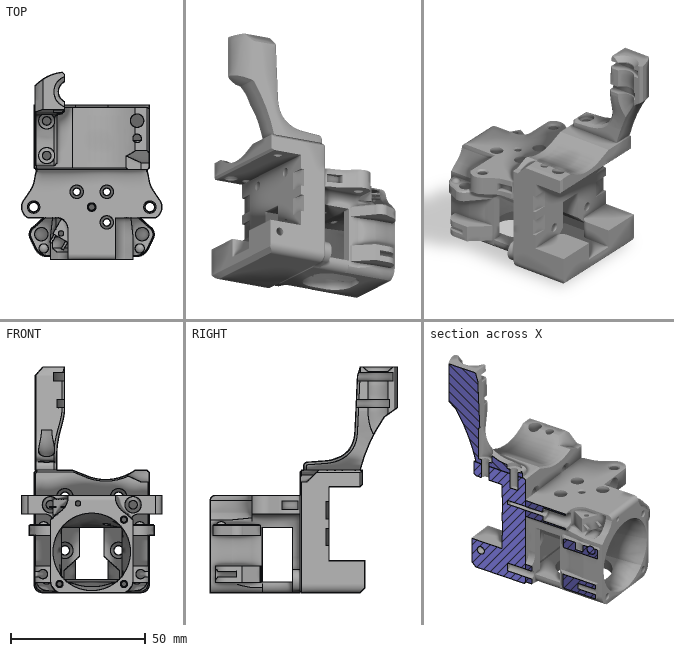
import cadquery as cq
import math

SIDES = (-1, 1)
OVERCUT = 1.0

carriage_half_width = 21.5
carriage_height = 45.7
block_depth = 10.8
top_flange_back = 23.2
top_flange_underside = 39.5
bottom_flange_back = 24.1
bottom_flange_top = 12.0
bottom_corner_radius = 3.2
front_edge_chamfer = 0.6
top_edge_chamfer = 0.9
top_flange_chamfer = 0.8
bottom_flange_chamfer = 1.7
rail_screw_half_pitch = 10.0
rail_screw_levels = (15.8, 35.8)
rail_screw_diameter = 3.4
rail_screw_head_diameter = 6.1
rail_screw_head_depth = 0.8
saddle_slope_start = (-7.1, carriage_height)
saddle_arc_start = (-3.0, 44.05)
saddle_low_point = (5.2, 42.2)
saddle_end = (16.2, carriage_height)
window_half_width = 4.5
window_wide_half_width = 10.4
window_floor = 5.0
window_wide_level = 8.2
window_narrow_level = 13.6
window_top = 24.3
flange_slot_half_width = 6.0
flange_slot_mouth_half_width = 9.1
belt_notch_levels = ((17.6, 24.0), (27.5, 34.1))
belt_notch_depth = 1.2
belt_notch_length = 6.0
cross_hole_diameter = 3.0
cross_hole_y = 20.1
cross_hole_z = 8.0
cross_hole_depth = 10.0
scoop_floor = 41.3
scoop_start_x = 12.2
scoop_start_z = 44.1
scoop_floor_start_x = 18.4
scoop_ledge_depth = 2.5
scoop_back = 7.0
top_hole_x = 16.9
top_holes = ((18.2, 5.0), (11.6, 3.2))
top_hole_depth = carriage_height - top_flange_underside

arm_left = -21.2
arm_right = -10.1
arm_foot_right = -13.0
arm_foot_rise = 52.0
arm_front = 1.3
arm_back = 36.28
arm_top = 84.15
arm_post_front = 22.4
arm_screw_x = -16.8
arm_screw_positions = (5.2, 18.1)
arm_screw_diameter = 3.2
arm_screw_head_diameter = 6.0
arm_screw_seat = 47.5
arm_screw_relief_top = 60.6
arm_screw_depth = 6.2
cable_center = (-8.2, 29.0)
cable_radius = 4.2
cable_mouth_radius = 5.9
tie_groove_height = 3.0
tie_grooves = ((79.0, 6.0), (69.0, 4.8))
arm_edge_chamfer = 0.5
arm_foot_chamfer = 1.0

plate_top = 36.3
plate_bottom = 29.3
plate_front = -18.0
plate_half_width = 26.185
duct_front = -33.55
duct_narrow_half_width = 14.6
duct_half_width = 15.4
duct_taper_end = -25.2
duct_corner_radius = 3.2
duct_corner_height = 4.5
gusset_radius = 2.6
tongue_half_width = 8.9
tongue_edge_radius = 2.0
ear_hole_x = 21.65
ear_hole_y = -14.0
ear_radius = plate_half_width - ear_hole_x
ear_flank_angle = 40.0
ear_hole_diameter = 3.5
ear_hole_mouth_diameter = 4.6
plate_screws = ((-5.6, -8.3), (5.6, -8.3), (5.6, -19.7))
plate_screw_diameter = 2.7
plate_screw_head_diameter = 5.0
plate_screw_head_depth = 3.0
probe_hole_diameter = 2.4
probe_hole_mouth_diameter = 3.2
probe_hole_depth = 8.0
mount_screw_x = 15.4
mount_screw_z = 32.8
mount_screw_diameter = 3.2
mount_screw_head_diameter = 6.1
mount_screw_seat_y = -8.0
mount_screw_depth = 8.0
cavity_half_width = 11.2
cavity_floor = 4.1
cavity_top = 24.3
side_window_back = -2.9
side_window_front = -14.05
floor_opening_half_width = 9.0
floor_opening_front = -25.0
floor_opening_back = -5.0
floor_opening_corner_radius = 7.0
fan_center_z = 15.25
fan_opening_diameter = 28.9
fan_screw_half_pitch = 12.0
fan_screw_diameter = 2.0
fan_screw_mouth_diameter = 2.7
fan_screw_depth = 8.0
front_pin_hole = (-5.1, 33.3)
front_pin_hole_diameter = 2.0
front_pin_hole_depth = 4.5
foot_center = (16.8, 4.8)
foot_radius = 3.9
foot_screw_diameter = 3.2
foot_flare_top = 13.5
nut_slot_y = (-6.7, -0.8)
nut_slot_z = (31.1, 34.2)
nut_slot_inner_x = 19.5

upper_pad_back = -14.75
upper_pad_front = -32.5
upper_pad_bottom = 21.4
upper_pad_top = 25.5
upper_pad_chamfer = 0.5
magnet_center = (18.8, -24.1)
magnet_hole_diameter = 5.0
magnet_hole_depth = 3.0
lower_pad_front = -31.6
lower_pad_bottom = 3.8
lower_pad_top = 10.0
keyhole_center = (18.2, 6.95)
keyhole_diameter = 3.5
keyhole_slot_height = 2.0
keyhole_end_y = -23.7

ball_diameter = 4.0
ball_center = (17.9, -29.4)
ball_rise = 1.0

switch_corner = (-14.5, -23.9)
switch_angle = -30.0
switch_length = 12.8
switch_depth = 6.5
switch_height = 5.85
switch_bottom = 29.05
switch_hole_diameter = 2.0
switch_hole_offsets = (2.6, 9.1)
switch_hole_inset = 1.6
terminal_offsets = (0.5, 5.5)
terminal_width = 0.9
terminal_thickness = 0.5
terminal_length = 3.3
switch_bay_step = 1.2
switch_bay_front = -29.3
switch_bay_ramp = 1.5
bay_corner_radius = 4.2
switch_undercut_headroom = 0.8


def box(x_range, y_range, z_range):
    """Box between the given limits."""
    size = [b - a for a, b in (x_range, y_range, z_range)]
    return cq.Workplane("XY").box(*size, centered=False).translate((x_range[0], y_range[0], z_range[0]))


def rod(diameter, start, direction, length):
    """Cylinder that starts at a point and runs along a direction."""
    solid = cq.Solid.makeCylinder(diameter / 2, length, cq.Vector(*start), cq.Vector(*direction))
    return cq.Workplane(obj=solid)


def hole_mouth(mouth_diameter, hole_diameter, start, direction, depth=None):
    """Countersink at the mouth of a hole, at 45 degrees unless a depth is given."""
    if depth is None:
        depth = (mouth_diameter - hole_diameter) / 2
    solid = cq.Solid.makeCone(
        mouth_diameter / 2, hole_diameter / 2, depth, cq.Vector(*start), cq.Vector(*direction)
    )
    return cq.Workplane(obj=solid)


def front_profile(y_front):
    """Workplane for outlines in X and Z whose extrusions run toward +Y."""
    return cq.Workplane("XZ", origin=(0, y_front, 0))


def extrude_back(profile, length):
    return profile.extrude(-length)


def on_both_sides(shape):
    return shape.union(shape.mirror("YZ"))


def saddle_cut():
    profile = (
        front_profile(-OVERCUT)
        .moveTo(*saddle_slope_start)
        .lineTo(*saddle_arc_start)
        .threePointArc(saddle_low_point, saddle_end)
        .lineTo(saddle_end[0], carriage_height + OVERCUT)
        .lineTo(saddle_slope_start[0], carriage_height + OVERCUT)
        .close()
    )
    return extrude_back(profile, top_flange_back + 2 * OVERCUT)


def corner_scoop():
    """Sloped recess in the front right corner of the carriage top."""
    right = carriage_half_width + OVERCUT
    outline = front_profile(-OVERCUT).polyline(
        [
            (scoop_start_x, scoop_start_z),
            (scoop_floor_start_x, scoop_floor),
            (right, scoop_floor),
            (right, carriage_height + OVERCUT),
            (scoop_start_x, carriage_height + OVERCUT),
        ]
    ).close()
    recess = extrude_back(outline, scoop_back + 2 * OVERCUT)
    slope = (scoop_back - scoop_ledge_depth) / (carriage_height - scoop_floor)
    side = (
        cq.Workplane("YZ", origin=(scoop_start_x, 0, 0))
        .polyline(
            [
                (-OVERCUT, scoop_floor),
                (scoop_ledge_depth, scoop_floor),
                (scoop_back + slope * OVERCUT, carriage_height + OVERCUT),
                (-OVERCUT, carriage_height + OVERCUT),
            ]
        )
        .close()
        .extrude(right - scoop_start_x)
    )
    return recess.intersect(side)


def carriage_window():
    """Opening through the block, wide at its foot, that runs into a slot in the bottom flange."""
    half_outline = [
        (window_wide_half_width, window_floor),
        (window_wide_half_width, window_wide_level),
        (window_half_width, window_narrow_level),
        (window_half_width, window_top),
    ]
    outline = half_outline + [(-x, z) for x, z in reversed(half_outline)]
    opening = extrude_back(front_profile(-OVERCUT).polyline(outline).close(), block_depth + OVERCUT)
    round_radius = flange_slot_mouth_half_width - flange_slot_half_width
    half_slot = (
        cq.Workplane("XY", origin=(0, 0, window_floor))
        .moveTo(0, block_depth)
        .lineTo(flange_slot_mouth_half_width, block_depth)
        .radiusArc((flange_slot_half_width, block_depth + round_radius), round_radius)
        .lineTo(flange_slot_half_width, bottom_flange_back + OVERCUT)
        .lineTo(0, bottom_flange_back + OVERCUT)
        .close()
        .extrude(bottom_flange_top)
    )
    return opening.union(on_both_sides(half_slot))


def belt_notch(bottom, top):
    """Shallow wedge in the back face, deepest at the side of the carriage."""
    return (
        cq.Workplane("XY", origin=(0, 0, bottom))
        .polyline(
            [
                (carriage_half_width, block_depth),
                (carriage_half_width, block_depth - belt_notch_depth),
                (carriage_half_width - belt_notch_length, block_depth),
            ]
        )
        .close()
        .extrude(top - bottom)
    )


def mount_screw_points():
    upper = [(side * mount_screw_x, mount_screw_z) for side in SIDES]
    lower = [(side * foot_center[0], foot_center[1]) for side in SIDES]
    return upper + lower


def make_carriage():
    body = (
        cq.Workplane("YZ", origin=(-carriage_half_width, 0, 0))
        .polyline(
            [
                (0, 0),
                (bottom_flange_back, 0),
                (bottom_flange_back, bottom_flange_top),
                (block_depth, bottom_flange_top),
                (block_depth, top_flange_underside),
                (top_flange_back, top_flange_underside),
                (top_flange_back, carriage_height),
                (0, carriage_height),
            ]
        )
        .close()
        .extrude(2 * carriage_half_width)
    )
    body = body.faces(">Y").edges("<Z").chamfer(bottom_flange_chamfer)
    top_flange_back_face = cq.selectors.NearestToPointSelector(
        (0, top_flange_back, (top_flange_underside + carriage_height) / 2)
    )
    body = body.faces(top_flange_back_face).edges("|Z or <Z").chamfer(top_flange_chamfer)
    body = body.edges("|Y and <Z").fillet(bottom_corner_radius)
    body = body.edges("|Y and >Z").chamfer(top_edge_chamfer)
    body = body.cut(saddle_cut())
    body = body.faces("<Y").chamfer(front_edge_chamfer)
    body = body.cut(corner_scoop())
    body = body.cut(carriage_window())
    for bottom, top in belt_notch_levels:
        body = body.cut(on_both_sides(belt_notch(bottom, top)))
    for side in SIDES:
        for level in rail_screw_levels:
            start = (side * rail_screw_half_pitch, 0, level)
            body = body.cut(rod(rail_screw_diameter, start, (0, 1, 0), block_depth))
            body = body.cut(
                hole_mouth(
                    rail_screw_head_diameter, rail_screw_diameter, start, (0, 1, 0), rail_screw_head_depth
                )
            )
    for x, z in mount_screw_points():
        body = body.cut(rod(mount_screw_diameter, (x, 0, z), (0, 1, 0), mount_screw_depth))
    cross_hole_start = (-carriage_half_width, cross_hole_y, cross_hole_z)
    body = body.cut(rod(cross_hole_diameter, cross_hole_start, (1, 0, 0), cross_hole_depth))
    for y, diameter in top_holes:
        body = body.cut(rod(diameter, (top_hole_x, y, carriage_height), (0, 0, -1), top_hole_depth))
    for y in arm_screw_positions:
        body = body.cut(
            rod(arm_screw_diameter, (arm_screw_x, y, carriage_height), (0, 0, -1), arm_screw_depth)
        )
    return body


def arm_side_outline():
    """Outline in Y and Z: a low foot that sweeps up into a post leaning backward."""
    return (
        cq.Workplane("YZ", origin=(arm_left, 0, 0))
        .moveTo(arm_front, carriage_height)
        .lineTo(22.4, carriage_height)
        .threePointArc((26.1, 56.2), (31.4, 65.5))
        .lineTo(arm_back, 69.0)
        .lineTo(arm_back, arm_top)
        .lineTo(arm_post_front, arm_top)
        .lineTo(21.35, 80.8)
        .lineTo(20.4, 60.0)
        .spline([(16.0, 51.3), (9.5, 49.2)], tangents=[(-0.0457, -1), (-1, -0.0725)], includeCurrent=True)
        .lineTo(2.6, 48.7)
        .threePointArc((1.8, 48.3), (arm_front, 47.2))
        .close()
        .extrude(arm_right - arm_left)
    )


def arm_front_outline():
    """Outline in X and Z: chamfered top corner and a right edge that narrows toward the foot."""
    profile = (
        front_profile(0)
        .moveTo(arm_left, carriage_height)
        .lineTo(arm_foot_right, carriage_height)
        .lineTo(arm_foot_right, arm_foot_rise)
        .spline([(-12.2, 58.5), (arm_right, 67.7)], tangents=[(0, 1), (0.1, 1)], includeCurrent=True)
        .lineTo(arm_right, arm_top)
        .lineTo(-18.2, arm_top)
        .lineTo(arm_left, 80.8)
        .close()
    )
    return extrude_back(profile, arm_back)


def arm_plan_outline():
    """Outline in X and Y: the back corner is swept away by a long arc."""
    return (
        cq.Workplane("XY", origin=(0, 0, carriage_height))
        .moveTo(arm_left, 0)
        .lineTo(arm_right, 0)
        .lineTo(arm_right, 35.4)
        .lineTo(-11.0, arm_back)
        .threePointArc((-17.0, 34.4), (arm_left, 31.1))
        .close()
        .extrude(arm_top - carriage_height)
    )


def front_edges_at(x, y_limit, z_limit):
    """Selects the arm's upper front edges in a plane of constant X, below the given limits."""
    margin = 0.1
    return cq.selectors.BoxSelector(
        (x - margin, 0, carriage_height + margin), (x + margin, y_limit, z_limit)
    )


def make_arm():
    body = arm_side_outline().intersect(arm_front_outline()).intersect(arm_plan_outline())
    body = body.edges(front_edges_at(arm_left, arm_post_front, arm_top))
    body = body.chamfer(arm_edge_chamfer)
    body = body.edges(front_edges_at(arm_foot_right, arm_screw_positions[1], arm_foot_rise))
    body = body.chamfer(arm_foot_chamfer)
    cable_x, cable_y = cable_center
    height = arm_top - carriage_height
    body = body.cut(rod(2 * cable_radius, (cable_x, cable_y, carriage_height), (0, 0, 1), height))
    mouth_start = (cable_x, cable_y, arm_top)
    body = body.cut(hole_mouth(2 * cable_mouth_radius, 2 * cable_radius, mouth_start, (0, 0, -1)))
    for bottom, radius in tie_grooves:
        body = body.cut(rod(2 * radius, (cable_x, cable_y, bottom), (0, 0, 1), tie_groove_height))
        body = body.cut(
            box((cable_x - radius, arm_right), (0, cable_y), (bottom, bottom + tie_groove_height))
        )
    for y in arm_screw_positions:
        start = (arm_screw_x, y, carriage_height)
        seat = (arm_screw_x, y, arm_screw_seat)
        relief = arm_screw_relief_top - arm_screw_seat
        body = body.cut(rod(arm_screw_diameter, start, (0, 0, 1), relief))
        body = body.cut(rod(arm_screw_head_diameter, seat, (0, 0, 1), relief))
    return body


def plate_half():
    """Right half of the top plate, with its mounting ear."""
    flank_angle = math.radians(ear_flank_angle)
    tangent_x = ear_hole_x + ear_radius * math.cos(flank_angle)
    tangent_y = ear_hole_y + ear_radius * math.sin(flank_angle)
    front_x = ear_hole_x + math.sqrt(ear_radius**2 - (plate_front - ear_hole_y) ** 2)
    return (
        cq.Workplane("XY", origin=(0, 0, plate_bottom))
        .moveTo(0, 0)
        .lineTo(20.3, 0)
        .lineTo(20.9, -1.2)
        .lineTo(21.4, -3.9)
        .threePointArc((21.9, -5.9), (22.9, -7.8))
        .lineTo(tangent_x, tangent_y)
        .threePointArc((ear_hole_x + ear_radius, ear_hole_y), (front_x, plate_front))
        .lineTo(0, plate_front)
        .close()
        .extrude(plate_top - plate_bottom)
    )


def duct_front_half():
    """Right half of the fan end: a box below the tongue, with a channel along the tongue."""
    profile = (
        front_profile(duct_front)
        .moveTo(0, 0)
        .lineTo(duct_half_width - duct_corner_radius, 0)
        .threePointArc((14.4, 1.6), (duct_half_width, duct_corner_height))
        .lineTo(duct_half_width, 27.2)
        .lineTo(12.5, 29.7)
        .threePointArc((10.3, 31.6), (tongue_half_width, plate_top - tongue_edge_radius))
        .lineTo(tongue_half_width, plate_top)
        .lineTo(0, plate_top)
        .close()
    )
    body = extrude_back(profile, side_window_front - duct_front)
    plan = (
        cq.Workplane("XY")
        .polyline(
            [
                (0, duct_front),
                (duct_half_width, duct_front),
                (duct_half_width, duct_taper_end),
                (duct_narrow_half_width, plate_front),
                (duct_narrow_half_width, 0),
                (0, 0),
            ]
        )
        .close()
        .extrude(plate_top)
    )
    return body.intersect(plan)


def plate_gusset():
    """Concave blend between the right duct wall and the underside of the plate."""
    wall = duct_narrow_half_width
    profile = (
        front_profile(plate_front)
        .moveTo(wall - OVERCUT, plate_bottom)
        .lineTo(wall - OVERCUT, plate_bottom - gusset_radius)
        .lineTo(wall, plate_bottom - gusset_radius)
        .radiusArc((wall + gusset_radius, plate_bottom), gusset_radius)
        .close()
    )
    return extrude_back(profile, -plate_front)


def back_frame_half():
    """Right half of the frame against the carriage, with its flared screw foot."""
    foot_x, foot_z = foot_center
    profile = (
        front_profile(side_window_back)
        .moveTo(0, 0)
        .lineTo(duct_narrow_half_width - duct_corner_radius, 0)
        .lineTo(foot_x, foot_z - foot_radius)
        .threePointArc((foot_x + foot_radius, foot_z), (foot_x, foot_z + foot_radius))
        .threePointArc((duct_narrow_half_width + 0.7, 10.2), (duct_narrow_half_width, foot_flare_top))
        .lineTo(duct_narrow_half_width, plate_bottom)
        .lineTo(0, plate_bottom)
        .close()
    )
    return extrude_back(profile, -side_window_back)


def upper_pad():
    """Right upper side pad, without its holes."""
    return (
        cq.Workplane("XY", origin=(0, 0, upper_pad_bottom))
        .moveTo(duct_narrow_half_width - OVERCUT, upper_pad_back)
        .lineTo(duct_narrow_half_width - OVERCUT, upper_pad_front)
        .lineTo(16.8, upper_pad_front)
        .threePointArc((19.3, -31.6), (21.1, -29.6))
        .lineTo(23.2, -25.2)
        .threePointArc((23.1, -23.0), (21.5, -21.1))
        .lineTo(duct_narrow_half_width, upper_pad_back)
        .close()
        .extrude(upper_pad_top - upper_pad_bottom)
        .faces(">Z")
        .chamfer(upper_pad_chamfer)
    )


def lower_pad():
    """Right lower side pad with a keyhole channel that opens to the front and side."""
    pad = (
        cq.Workplane("XY", origin=(0, 0, lower_pad_bottom))
        .moveTo(duct_narrow_half_width - OVERCUT, side_window_front)
        .lineTo(duct_narrow_half_width - OVERCUT, lower_pad_front)
        .lineTo(17.0, lower_pad_front)
        .threePointArc((20.0, -30.3), (21.2, -27.5))
        .lineTo(21.2, -21.7)
        .lineTo(15.3, -15.0)
        .close()
        .extrude(lower_pad_top - lower_pad_bottom)
    )
    x, z = keyhole_center
    length = keyhole_end_y - duct_front
    half_slot = keyhole_slot_height / 2
    pad = pad.cut(rod(keyhole_diameter, (x, duct_front, z), (0, 1, 0), length))
    slot = box((x, x + keyhole_diameter), (duct_front, keyhole_end_y), (z - half_slot, z + half_slot))
    return pad.cut(slot)


def duct_passage():
    """Round fan mouth that blends into the square space behind it."""
    cavity_height = cavity_top - cavity_floor
    cavity_middle = (cavity_top + cavity_floor) / 2
    depth = side_window_front - duct_front
    funnel = (
        front_profile(duct_front)
        .center(0, fan_center_z)
        .circle(fan_opening_diameter / 2)
        .workplane(offset=-depth)
        .center(0, cavity_middle - fan_center_z)
        .rect(2 * cavity_half_width, cavity_height)
        .loft(ruled=True)
    )
    cavity = box(
        (-cavity_half_width, cavity_half_width), (side_window_front, 0), (cavity_floor, cavity_top)
    )
    window = box(
        (-carriage_half_width, carriage_half_width),
        (side_window_front, side_window_back),
        (cavity_floor, cavity_top),
    )
    floor_opening = box(
        (-floor_opening_half_width, floor_opening_half_width),
        (floor_opening_front, floor_opening_back),
        (0, cavity_floor),
    )
    floor_opening = floor_opening.edges("|Z").fillet(floor_opening_corner_radius)
    return funnel.union(cavity).union(window).union(floor_opening)


def switch_bay():
    """Open bay left of the tongue in front of the switch, with a stepped floor and a ramped end."""
    step_floor = switch_bottom - switch_bay_step
    ramp_end = switch_bay_front - switch_bay_ramp
    return (
        cq.Workplane("YZ", origin=(-duct_half_width, 0, 0))
        .polyline(
            [
                (plate_front, plate_top),
                (plate_front, switch_bottom),
                (duct_taper_end, switch_bottom),
                (duct_taper_end, step_floor),
                (switch_bay_front, step_floor),
                (ramp_end, step_floor + switch_bay_ramp),
                (ramp_end, plate_top),
            ]
        )
        .close()
        .extrude(duct_half_width - tongue_half_width)
    )


def switch_undercut():
    """Part of the switch bay that runs under the tongue along the terminal face."""
    angle = math.radians(switch_angle)
    end_x = switch_corner[0] + switch_length * math.cos(angle)
    end_y = switch_corner[1] + switch_length * math.sin(angle)
    start_y = switch_corner[1] - math.tan(-angle) * (-tongue_half_width - switch_corner[0])
    front = switch_bay_front - switch_bay_ramp
    return (
        cq.Workplane("XY", origin=(0, 0, switch_bottom))
        .moveTo(-tongue_half_width, start_y)
        .lineTo(end_x, end_y)
        .lineTo(end_x, front)
        .lineTo(-tongue_half_width, front)
        .close()
        .extrude(switch_height + switch_undercut_headroom)
    )


def tongue_corner():
    """Web that rounds the inner corner between the plate and the tongue above the switch."""
    return (
        cq.Workplane("XY", origin=(0, 0, plate_bottom))
        .moveTo(-tongue_half_width - bay_corner_radius, plate_front)
        .radiusArc((-tongue_half_width, plate_front - bay_corner_radius), bay_corner_radius)
        .line(OVERCUT, 0)
        .lineTo(-tongue_half_width + OVERCUT, plate_front + OVERCUT)
        .lineTo(-tongue_half_width - bay_corner_radius, plate_front + OVERCUT)
        .close()
        .extrude(plate_top - plate_bottom)
    )


def place_switch(shape):
    """Moves a shape from the switch's own axes to its place on the duct."""
    return shape.rotate((0, 0, 0), (0, 0, 1), switch_angle).translate((*switch_corner, switch_bottom))


def make_switch():
    """Microswitch with two mounting holes and two terminal blades."""
    body = box((0, switch_length), (0, switch_depth), (0, switch_height))
    for x in switch_hole_offsets:
        body = body.cut(rod(switch_hole_diameter, (x, switch_hole_inset, 0), (0, 0, 1), switch_height))
    blade_bottom = (switch_height - terminal_thickness) / 2
    for x in terminal_offsets:
        blade = box(
            (x, x + terminal_width),
            (-terminal_length, 0),
            (blade_bottom, blade_bottom + terminal_thickness),
        )
        body = body.union(blade)
    return place_switch(body)


def make_ball(side):
    x, y = ball_center
    z = upper_pad_top + ball_rise - ball_diameter / 2
    return cq.Workplane("XY").sphere(ball_diameter / 2).translate((side * x, y, z))


def make_duct():
    body = on_both_sides(duct_front_half())
    body = body.edges("<Y and >Z").fillet(tongue_edge_radius)
    body = body.union(on_both_sides(plate_half()))
    body = body.union(
        box(
            (-duct_narrow_half_width, duct_narrow_half_width),
            (side_window_front, 0),
            (cavity_top, plate_bottom),
        )
    )
    floor_sides = (-duct_narrow_half_width, duct_narrow_half_width)
    floor = box(floor_sides, (side_window_front, 0), (0, cavity_floor))
    body = body.union(floor.edges("|Y and <Z").fillet(duct_corner_radius))
    body = body.union(on_both_sides(plate_gusset()))
    body = body.union(on_both_sides(back_frame_half()))
    body = body.union(on_both_sides(upper_pad()))
    body = body.union(on_both_sides(lower_pad()))
    body = body.cut(switch_bay()).cut(switch_undercut()).union(tongue_corner())
    body = body.cut(duct_passage())
    body = cut_plate_holes(body)
    body = cut_front_holes(body)
    for side in SIDES:
        x, y = magnet_center
        start = (side * x, y, upper_pad_top)
        body = body.cut(rod(magnet_hole_diameter, start, (0, 0, -1), magnet_hole_depth))
        body = body.cut(make_ball(side))
    return body.cut(make_switch())


def cut_plate_holes(body):
    """Vertical holes in the top plate and the nut slots in its flanks."""
    down = (0, 0, -1)
    thickness = plate_top - plate_bottom
    for side in SIDES:
        start = (side * ear_hole_x, ear_hole_y, plate_top)
        body = body.cut(rod(ear_hole_diameter, start, down, thickness))
        body = body.cut(hole_mouth(ear_hole_mouth_diameter, ear_hole_diameter, start, down))
    for x, y in plate_screws:
        start = (x, y, plate_top)
        body = body.cut(rod(plate_screw_diameter, start, down, plate_top))
        body = body.cut(rod(plate_screw_head_diameter, start, down, plate_screw_head_depth))
    probe_start = (0, ear_hole_y, plate_top)
    body = body.cut(rod(probe_hole_diameter, probe_start, down, probe_hole_depth))
    body = body.cut(hole_mouth(probe_hole_mouth_diameter, probe_hole_diameter, probe_start, down))
    nut_slot = box((nut_slot_inner_x, carriage_half_width + OVERCUT), nut_slot_y, nut_slot_z)
    return body.cut(on_both_sides(nut_slot))


def cut_front_holes(body):
    """Horizontal holes for the mounting screws, the fan screws and the front pin."""
    back = (0, 1, 0)
    for side in SIDES:
        foot_start = (side * foot_center[0], side_window_back, foot_center[1])
        body = body.cut(rod(foot_screw_diameter, foot_start, back, -side_window_back))
    head_length = mount_screw_seat_y - plate_front
    for side in SIDES:
        start = (side * mount_screw_x, plate_front, mount_screw_z)
        body = body.cut(rod(mount_screw_diameter, start, back, -plate_front))
        body = body.cut(rod(mount_screw_head_diameter, start, back, head_length))
    for x_side, z_side in ((-1, -1), (1, -1), (1, 1)):
        x = x_side * fan_screw_half_pitch
        z = fan_center_z + z_side * fan_screw_half_pitch
        start = (x, duct_front, z)
        body = body.cut(rod(fan_screw_diameter, start, back, fan_screw_depth))
        body = body.cut(hole_mouth(fan_screw_mouth_diameter, fan_screw_diameter, start, back))
    pin_x, pin_z = front_pin_hole
    pin_start = (pin_x, duct_front, pin_z)
    return body.cut(rod(front_pin_hole_diameter, pin_start, back, front_pin_hole_depth))


carriage = make_carriage()
arm = make_arm()
duct = make_duct()
switch = make_switch()
balls = [make_ball(side) for side in SIDES]

result = cq.Compound.makeCompound(
    [carriage.val(), arm.val(), duct.val(), switch.val(), *[ball.val() for ball in balls]]
)